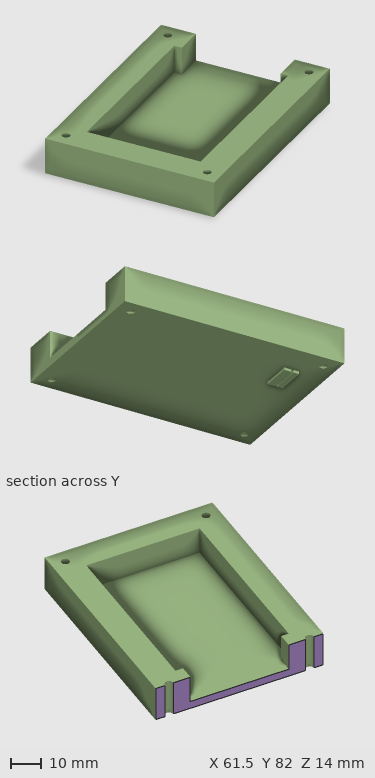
import cadquery as cq

length = 82.0
width = 61.5
total_height = 14.0
strip_height = 1.0
block_height = total_height - strip_height

wall = 10.0
pocket_depth = 10.0
pocket_width = width - 2 * wall
pocket_length = length - 2 * wall
mouth_width = 36.0

hole_diameter = 2.9
hole_inset = wall / 2

strip_length = 10.8
strip_left_inset = 11.9
strip_rows = [(10.1, 2.2), (12.9, 2.8)]


def make_block():
    """Plain block standing on Z = 0, centred in X and Y."""
    return cq.Workplane("XY").box(width, length, block_height, centered=(True, True, False))


def make_pocket():
    """Open-topped pocket joined to the mouth that leads out through the +Y side."""
    floor = cq.Workplane("XY").workplane(offset=block_height - pocket_depth)
    pocket = floor.rect(pocket_width, pocket_length).extrude(pocket_depth)
    mouth_length = length / 2
    mouth = floor.center(0, mouth_length / 2).rect(mouth_width, mouth_length).extrude(pocket_depth)
    return pocket.union(mouth)


def make_holes():
    """Four through holes, one in each corner."""
    return (
        cq.Workplane("XY")
        .rect(width - 2 * hole_inset, length - 2 * hole_inset, forConstruction=True)
        .vertices()
        .circle(hole_diameter / 2)
        .extrude(block_height)
    )


def make_strip(front_inset, strip_width):
    """Plain raised strip on the underside, running along X."""
    left = strip_left_inset - width / 2
    front = front_inset - length / 2
    strip = cq.Workplane("XY").box(strip_length, strip_width, strip_height, centered=False)
    return strip.translate((left, front, -strip_height))


result = make_block().cut(make_pocket()).cut(make_holes())
for row_inset, row_width in strip_rows:
    result = result.union(make_strip(row_inset, row_width))